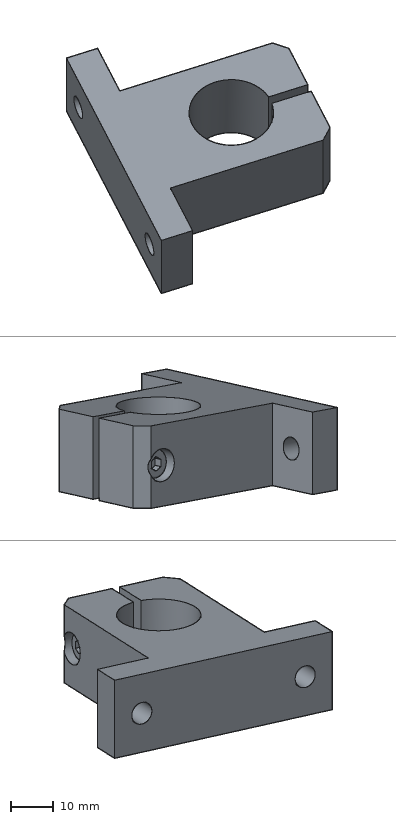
import cadquery as cq
import math

length = 60
depth = 50.0
height = 20.0
base_thickness = 8.0
body_width = 32.0
corner_chamfer = 3

bore_diameter = 20.0
bore_y = 30
slot_width = 2.1

mount_hole_diameter = 5.5
mount_hole_spacing = 45

screw_y = depth - 6.5
counterbore_diameter = 8.0
counterbore_depth = 6
head_diameter = 7.0
head_height = 4.0
head_fillet = 0.5
socket_across_flats = 3
socket_depth = 2.0

mid_height = height / 2
body_side_x = -body_width / 2


def make_bracket():
    base = cq.Workplane("XY").box(length, base_thickness, height, centered=(True, False, False))
    body = cq.Workplane("XY").box(body_width, depth, height, centered=(True, False, False))
    body = body.edges("|Z and >Y").chamfer(corner_chamfer)
    return base.union(body)


def make_shaft_clamp_cut():
    bore = cq.Workplane("XY").center(0, bore_y).circle(bore_diameter / 2).extrude(height)
    slot_length = depth - bore_y
    slot = (
        cq.Workplane("XY")
        .center(0, bore_y + slot_length / 2)
        .rect(slot_width, slot_length)
        .extrude(height)
    )
    return bore.union(slot)


def make_mount_holes():
    half_spacing = mount_hole_spacing / 2
    return (
        cq.Workplane("XZ")
        .pushPoints([(-half_spacing, mid_height), (half_spacing, mid_height)])
        .circle(mount_hole_diameter / 2)
        .extrude(-base_thickness)
    )


def screw_plane(x):
    """Workplane on the screw axis, facing +X."""
    return cq.Workplane("YZ", origin=(x, screw_y, mid_height))


def make_screw_head():
    floor_x = body_side_x + counterbore_depth
    top_x = floor_x - head_height
    head = screw_plane(top_x).circle(head_diameter / 2).extrude(head_height)
    head = head.faces("<X").edges().fillet(head_fillet)
    socket_diameter = socket_across_flats / math.cos(math.pi / 6)
    socket = screw_plane(top_x).polygon(6, socket_diameter).extrude(socket_depth)
    socket = socket.rotate((0, screw_y, mid_height), (1, screw_y, mid_height), 30)
    return head.cut(socket)


counterbore = screw_plane(body_side_x).circle(counterbore_diameter / 2).extrude(counterbore_depth)

result = (
    make_bracket()
    .cut(make_shaft_clamp_cut())
    .cut(make_mount_holes())
    .cut(counterbore)
    .union(make_screw_head())
)